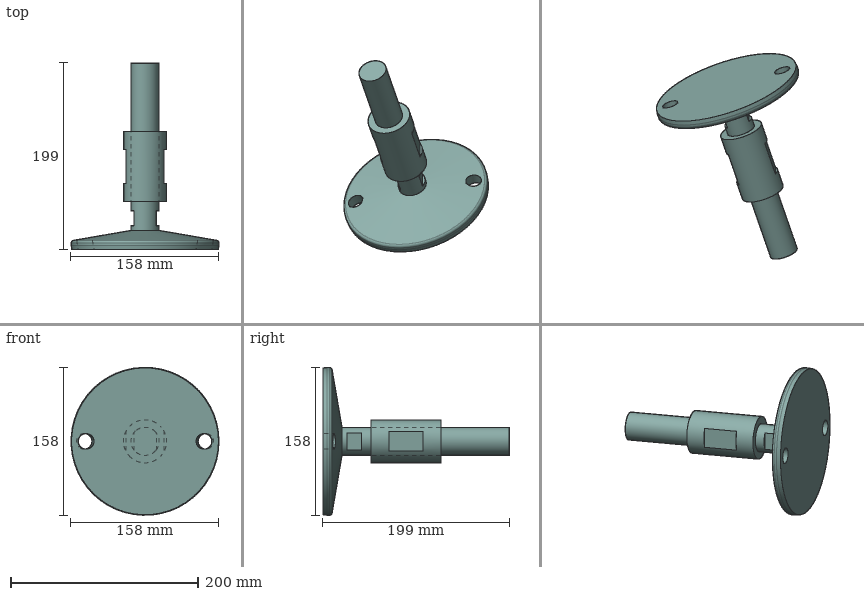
import cadquery as cq
import math

TOTAL_LENGTH = 199.0

FOOT_DIAMETER = 158.0
UNDERSIDE_INSET = 0.5
TAPER_HEIGHT = 4.4
RIM_TOP = 7.0
RIM_ROUND_RADIUS = 3.0
CONE_TOP = 20.5

SPINDLE_DIAMETER = 30.0
SPINDLE_FLAT_START = 25.5
SPINDLE_FLAT_LENGTH = 16.0
SPINDLE_FLAT_WIDTH = 24.0

HOLE_DIAMETER = 16.5
HOLE_OFFSET = 62.9
DRILL_LENGTH = 79.6

SLEEVE_DIAMETER = 46.0
SLEEVE_START = 51.1
SLEEVE_LENGTH = 75.0
SLEEVE_FLAT_LENGTH = 36.2
SLEEVE_FLAT_WIDTH = 41.0

foot_radius = FOOT_DIAMETER / 2
spindle_radius = SPINDLE_DIAMETER / 2

round_center_x = foot_radius - RIM_ROUND_RADIUS
run = round_center_x - spindle_radius
rise = CONE_TOP - RIM_TOP
cone_slope = math.atan2(rise, run) - math.asin(RIM_ROUND_RADIUS / math.hypot(run, rise))


def round_point(angle):
    """Point on the rounded rim edge, at an angle from the radial direction."""
    return (
        round_center_x + RIM_ROUND_RADIUS * math.cos(angle),
        RIM_TOP + RIM_ROUND_RADIUS * math.sin(angle),
    )


def cut_flats(body, start, length, across, diameter):
    """Cut two opposite wrench flats, facing -X and +X."""
    depth = (diameter - across) / 2
    for side in (-1, 1):
        cutter = cq.Workplane("XY").box(depth, length, diameter).translate(
            (side * (across + depth) / 2, start + length / 2, 0)
        )
        body = body.cut(cutter)
    return body


def make_fixing_drill(side):
    """Cylinder that leans away from the Y axis by the slope of the cone."""
    direction = cq.Vector(side * math.sin(cone_slope), math.cos(cone_slope), 0)
    underside_center = cq.Vector(side * HOLE_OFFSET, 0, 0)
    start = underside_center - direction * (DRILL_LENGTH / 2)
    return cq.Solid.makeCylinder(HOLE_DIAMETER / 2, DRILL_LENGTH, start, direction)


def make_foot():
    """Foot plate with its spindle."""
    round_end_angle = math.pi / 2 - cone_slope
    foot = (
        cq.Workplane("XY")
        .lineTo(foot_radius - UNDERSIDE_INSET, 0)
        .lineTo(foot_radius, TAPER_HEIGHT)
        .lineTo(foot_radius, RIM_TOP)
        .threePointArc(round_point(round_end_angle / 2), round_point(round_end_angle))
        .lineTo(spindle_radius, CONE_TOP)
        .lineTo(spindle_radius, TOTAL_LENGTH)
        .lineTo(0, TOTAL_LENGTH)
        .close()
        .revolve(360, (0, 0, 0), (0, 1, 0))
    )
    foot = cut_flats(foot, SPINDLE_FLAT_START, SPINDLE_FLAT_LENGTH, SPINDLE_FLAT_WIDTH, SPINDLE_DIAMETER)
    for side in (-1, 1):
        foot = foot.cut(cq.Workplane(make_fixing_drill(side)))
    return foot


def make_sleeve():
    """Sleeve around the spindle, with wrench flats midway along it."""
    sleeve = (
        cq.Workplane("XZ", origin=(0, SLEEVE_START, 0))
        .circle(SLEEVE_DIAMETER / 2)
        .circle(spindle_radius)
        .extrude(-SLEEVE_LENGTH)
    )
    flat_start = SLEEVE_START + (SLEEVE_LENGTH - SLEEVE_FLAT_LENGTH) / 2
    return cut_flats(sleeve, flat_start, SLEEVE_FLAT_LENGTH, SLEEVE_FLAT_WIDTH, SLEEVE_DIAMETER)


foot = make_foot()
sleeve = make_sleeve()

result = cq.Compound.makeCompound([foot.solids().val(), sleeve.solids().val()])